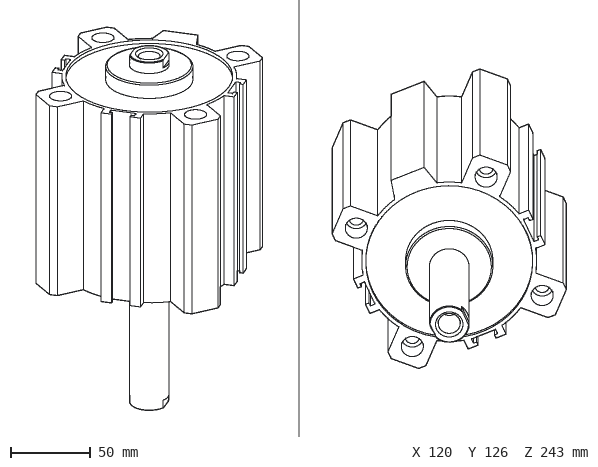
import cadquery as cq
import math

BARREL_LENGTH = 131.7
BARREL_DIAMETER = 110.0
ENVELOPE_WIDTH = 120.0
RIM_RECESS_DIAMETER = 105.0
RIM_RECESS_DEPTH = 2.5

EAR_WIDTH = 25.8
EAR_REACH = 75.5
EAR_HOLE_OFFSET = 44.5
EAR_HOLE_DIAMETER = 9.0
EAR_COUNTERBORE_DIAMETER = 13.9
EAR_COUNTERBORE_DEPTH = 14.5

RAIL_WIDTH = 26.0
SLOT_WIDTH = 16.5
SLOT_MOUTH = 12.2
SLOT_FLOOR = 54.5
LIP_THICKNESS = 2.5

PORT_BLOCK_REACH = 66.0
PORT_BLOCK_TOP_WIDTH = 22.5
PORT_BLOCK_BASE_WIDTH = 29.6
PORT_BLOCK_BASE = 51.5

BOSS_DIAMETER = 55.0
BOSS_HEIGHT = 7.8
BOSS_CHAMFER = 1.0

ROD_LENGTH = 243
ROD_DIAMETER = 25.0
ROD_TOP_PROJECTION = 7.8
ROD_CHAMFER = 0.5
FLATS_WIDTH = 22.0
FLATS_LENGTH = 5.5
ROD_HOLE_DIAMETER = 13.9
ROD_HOLE_DEPTH = 29.2
ROD_HOLE_CHAMFER = 1.7

HALF_BARREL = BARREL_LENGTH / 2
HALF_ENVELOPE = ENVELOPE_WIDTH / 2
ROD_TOP = HALF_BARREL + BOSS_HEIGHT + ROD_TOP_PROJECTION
ROD_BOTTOM = ROD_TOP - ROD_LENGTH
EAR_ANGLES = (45, 135, 225, 315)
RAIL_ANGLES = (0, 180, 270)


def bar(x_start, x_end, width, height=BARREL_LENGTH):
    """Block from x_start to x_end, centred on the X axis and at mid-height."""
    length = x_end - x_start
    return cq.Workplane("XY").box(length, width, height).translate((x_start + length / 2, 0, 0))


def cylinder(diameter, bottom, top):
    """Cylinder on the Z axis between two heights."""
    return cq.Workplane("XY").workplane(offset=bottom).circle(diameter / 2).extrude(top - bottom)


def about_axis(shape, angle):
    return shape.rotate((0, 0, 0), (0, 0, 1), angle)


def port_block():
    half_top = PORT_BLOCK_TOP_WIDTH / 2
    half_base = PORT_BLOCK_BASE_WIDTH / 2
    return (
        cq.Workplane("XY")
        .workplane(offset=-HALF_BARREL)
        .moveTo(-half_base, PORT_BLOCK_BASE)
        .lineTo(-half_top, PORT_BLOCK_REACH)
        .lineTo(half_top, PORT_BLOCK_REACH)
        .lineTo(half_base, PORT_BLOCK_BASE)
        .close()
        .extrude(BARREL_LENGTH)
    )


def t_slot():
    lip_inside = HALF_ENVELOPE - LIP_THICKNESS
    undercut = bar(SLOT_FLOOR, lip_inside, SLOT_WIDTH)
    mouth = bar(SLOT_FLOOR, HALF_ENVELOPE, SLOT_MOUTH)
    return undercut.union(mouth)


def barrel_profile():
    """Round barrel with ears, slot rails and the port block, all at full length."""
    body = cylinder(BARREL_DIAMETER, -HALF_BARREL, HALF_BARREL)
    for angle in EAR_ANGLES:
        body = body.union(about_axis(bar(0, EAR_REACH, EAR_WIDTH), angle))
    body = body.intersect(bar(-HALF_ENVELOPE, HALF_ENVELOPE, ENVELOPE_WIDTH))
    for angle in RAIL_ANGLES:
        body = body.union(about_axis(bar(0, HALF_ENVELOPE, RAIL_WIDTH), angle))
        body = body.cut(about_axis(t_slot(), angle))
    return body.union(port_block())


def ear_hole():
    """Through hole on the Z axis with a counterbore at each end."""
    hole = cylinder(EAR_HOLE_DIAMETER, -HALF_BARREL, HALF_BARREL)
    counterbore = cylinder(EAR_COUNTERBORE_DIAMETER, HALF_BARREL - EAR_COUNTERBORE_DEPTH, HALF_BARREL)
    return hole.union(counterbore).union(counterbore.mirror("XY"))


def build_housing():
    body = barrel_profile()

    hole_radius = EAR_HOLE_OFFSET * math.sqrt(2)
    for angle in EAR_ANGLES:
        body = body.cut(about_axis(ear_hole().translate((hole_radius, 0, 0)), angle))

    recess_floor = HALF_BARREL - RIM_RECESS_DEPTH
    recess = cylinder(RIM_RECESS_DIAMETER, recess_floor, HALF_BARREL)
    boss = cylinder(BOSS_DIAMETER, recess_floor, HALF_BARREL + BOSS_HEIGHT)
    boss = boss.faces(">Z").chamfer(BOSS_CHAMFER)
    body = body.cut(recess).cut(recess.mirror("XY"))
    body = body.union(boss).union(boss.mirror("XY"))

    return body.cut(cylinder(ROD_DIAMETER, ROD_BOTTOM, ROD_TOP))


def rod_end_cut():
    """Material removed at the top end of the rod: two flats and a blind hole with a countersink."""
    flats = cylinder(2 * ROD_DIAMETER, ROD_TOP - FLATS_LENGTH, ROD_TOP)
    flats = flats.cut(bar(-FLATS_WIDTH / 2, FLATS_WIDTH / 2, 2 * ROD_DIAMETER, 2 * ROD_LENGTH))
    hole = cylinder(ROD_HOLE_DIAMETER, ROD_TOP - ROD_HOLE_DEPTH, ROD_TOP)
    hole_radius = ROD_HOLE_DIAMETER / 2
    countersink = (
        cq.Workplane("XY")
        .workplane(offset=ROD_TOP)
        .circle(hole_radius + ROD_HOLE_CHAMFER)
        .workplane(offset=-ROD_HOLE_CHAMFER)
        .circle(hole_radius)
        .loft(ruled=True)
    )
    return flats.union(hole).union(countersink)


def build_rod():
    rod = cylinder(ROD_DIAMETER, ROD_BOTTOM, ROD_TOP).faces("<Z or >Z").chamfer(ROD_CHAMFER)
    top_cut = rod_end_cut()
    rod_middle = (ROD_TOP + ROD_BOTTOM) / 2
    bottom_cut = top_cut.mirror("XY", (0, 0, rod_middle))
    return rod.cut(top_cut).cut(bottom_cut)


housing = build_housing()
rod = build_rod()
result = cq.Compound.makeCompound([housing.val(), rod.val()])